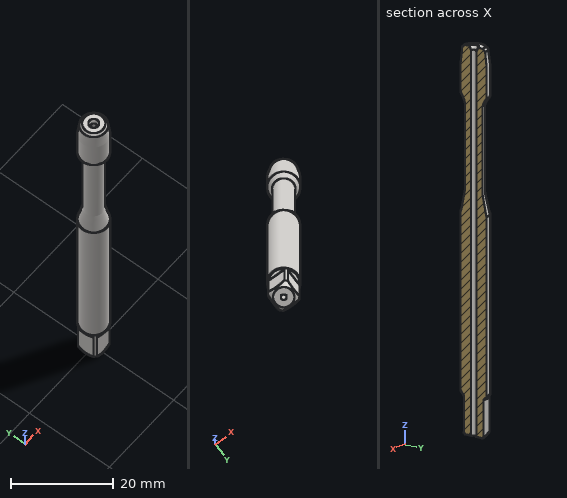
import cadquery as cq

length = 80.0

body_diameter = 6.5
neck_diameter = 4.5
head_foot_diameter = 4.6
lead_diameter = 5.7
tip_diameter = 4.6
drive_diameter = 6.2
drive_end_diameter = 4.2
shoulder_diameter = 6.3

drive_chamfer_height = 1.0
drive_top = 8.8
shank_top = 45.7
neck_bottom = 50.0

tip_chamfer_depth = 0.6
lead_depth = 3.8
head_depth = 10.0
head_foot_depth = 11.4
neck_top_depth = 11.9

square_width = 4.9
flat_height = 7.9

hole_diameter = 1.1
countersink_diameter = 2.1
countersink_angle = 60.0


def turned_body():
    """Revolve the half profile about the Z axis."""
    steps = [
        (drive_end_diameter, 0),
        (drive_diameter, drive_chamfer_height),
        (drive_diameter, drive_top),
        (body_diameter, drive_top),
        (body_diameter, shank_top),
        (shoulder_diameter, shank_top),
        (neck_diameter, neck_bottom),
        (neck_diameter, length - neck_top_depth),
        (head_foot_diameter, length - head_foot_depth),
        (body_diameter, length - head_depth),
        (body_diameter, length - lead_depth),
        (lead_diameter, length - tip_chamfer_depth),
        (tip_diameter, length),
    ]
    outline = [(0, 0)]
    outline += [(diameter / 2, height) for diameter, height in steps]
    outline.append((0, length))
    return cq.Workplane("XZ").polyline(outline).close().revolve(360, (0, 0), (0, 1))


def flat_cutter():
    """Material removed by one drive flat, with a 45 degree run-out at its top."""
    inner = square_width / 2
    outer = drive_diameter / 2
    run_out = outer - inner
    outline = [(inner, 0), (outer, 0), (outer, flat_height + run_out), (inner, flat_height)]
    return cq.Workplane("XZ").polyline(outline).close().extrude(drive_diameter / 2, both=True)


result = turned_body()

for side in range(4):
    result = result.cut(flat_cutter().rotate((0, 0, 0), (0, 0, 1), 90 * side))

result = (
    result.faces(">Z")
    .workplane(origin=(0, 0, length))
    .cskHole(hole_diameter, countersink_diameter, countersink_angle)
)